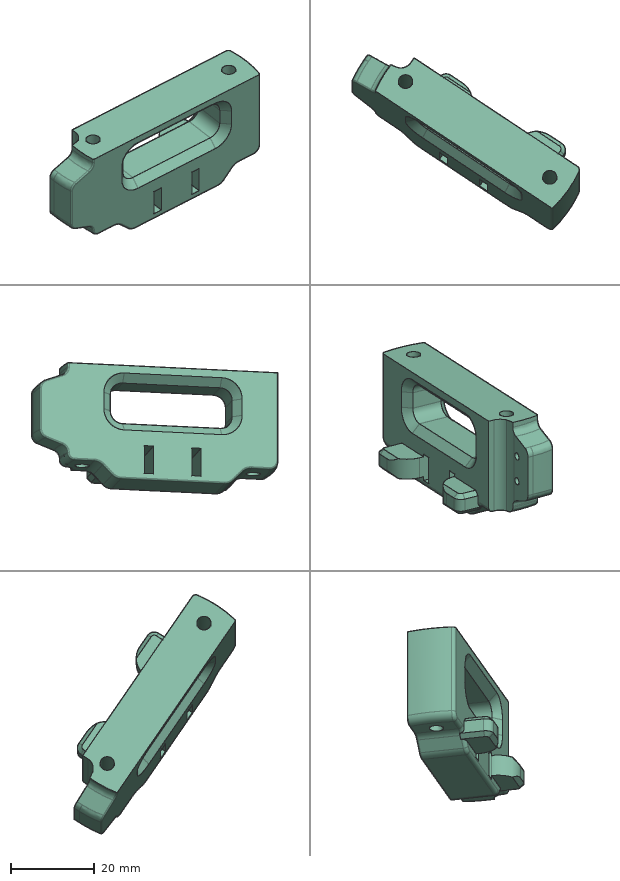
import cadquery as cq
import math


depth = 12.05
length = 59.6
height = 28.0
mid_x = depth / 2
end_radius = 29.8
block_bottom = 4.1
block_start = 6.8
nose_corner_round = 1.6
far_corner_round = 2.0
front_round = 1.0
rear_round = 0.35

tongue_y = (15.1, 51.25)
tongue_round = 3.0
tongue_overlap = 0.6

nose_x = 4.55
nose_buried_x = 2.4
nose_mid_z = 16.4
nose_tip_half = 6.45
nose_root_half = 8.95
nose_overlap = 3.0
nose_round = 2.0

relief_shoulder = (1.5, 10.55)
relief_blend = (4.05, 9.0)
relief_end_y = 6.4
relief_radius = 2.9
relief_exit_radius = 7.45
relief_clearance = 0.6

window_y = 33.2
window_z = 19.1
window_length = 29.9
window_height = 10.0
window_radius = 3.0
window_chamfer = 2.0

bolt_diameter = 3.4
bolt_y = (12.15, 54.2)
pin_diameter = 1.8
pin_depth = 3.0
pin_y = 5.0
pin_z = (13.3, 19.8)

hook_z = (2.5, 7.75)
hook_width = 10.8
hook_chamfer = 1.1
hook_corner = 1.95
hook_curve = 5.6
hook_root = 1.2
slot_z = (1.55, 8.4)
slot_width = 2.25
hooks = (
    (50.9, -1, 6.8),
    (15.4, 1, 5.65),
)

pick = 0.3


def edges_in_box(shape, low, high):
    """Edges centred in the box between two corners, enlarged by the pick clearance in Y and Z."""
    return shape.edges(cq.selectors.BoxSelector(
        (low[0], low[1] - pick, low[2] - pick),
        (high[0], high[1] + pick, high[2] + pick),
    ))


bow = end_radius - math.sqrt(end_radius**2 - mid_x**2)


def make_block():
    block = (
        cq.Workplane("XY", origin=(0, 0, block_bottom))
        .moveTo(0, block_start + bow)
        .threePointArc((mid_x, block_start), (depth, block_start + bow))
        .lineTo(depth, length - bow)
        .threePointArc((mid_x, length), (0, length - bow))
        .close()
        .extrude(height - block_bottom)
    )
    block = block.edges("<Z").edges("<Y").fillet(nose_corner_round)
    return block.edges("<Z").edges(">Y").fillet(far_corner_round)


def make_tongue():
    low, high = tongue_y
    top = block_bottom + tongue_overlap
    return (
        cq.Workplane("YZ")
        .polyline([
            (low, top),
            (low, block_bottom),
            (low + block_bottom, 0),
            (high - block_bottom, 0),
            (high, block_bottom),
            (high, top),
        ])
        .close()
        .extrude(depth)
        .edges("<Z and |X")
        .fillet(tongue_round)
    )


def blend_tongue(body):
    """Round the inner corners between the tongue and the underside of the block."""
    low, high = tongue_y
    near_joint = edges_in_box(body.edges("|X"), (0, low, block_bottom), (depth, high, block_bottom))
    return near_joint.fillet(tongue_round)


def round_front(body):
    """Round the outline of the hook-side face except its top edge."""
    return body.faces("<X").edges("not >Z").fillet(front_round)


def round_rear(body):
    """Round the outline of the face opposite the hooks except its top edge."""
    return body.faces(">X").edges("not >Z").fillet(rear_round)


def make_nose():
    """Tapered nose, flat-ended up to mid_x and bowed from there to the rear."""
    inner_y = block_start + nose_overlap
    plan = (
        cq.Workplane("XY")
        .moveTo(nose_buried_x, inner_y)
        .lineTo(nose_buried_x, 0)
        .lineTo(mid_x, 0)
        .radiusArc((depth, bow), -end_radius)
        .lineTo(depth, inner_y)
        .close()
        .extrude(height)
    )
    slope = (nose_root_half - nose_tip_half) / block_start
    inner_half = nose_tip_half + slope * inner_y
    side = (
        cq.Workplane("YZ", origin=(0, 0, nose_mid_z))
        .polyline([
            (0, -nose_tip_half),
            (0, nose_tip_half),
            (inner_y, inner_half),
            (inner_y, -inner_half),
        ])
        .close()
        .extrude(depth)
    )
    nose = plan.intersect(side)
    tip_edges = edges_in_box(
        nose.edges("not |Z"), (nose_buried_x + pick, 0, 0), (depth - pick, bow, height))
    return tip_edges.fillet(nose_round)


def blend_nose_root(body):
    """Round the two inner corners where the nose slopes meet the block."""
    root_edges = edges_in_box(
        body.edges("not |Z"),
        (nose_buried_x, block_start, nose_mid_z - nose_root_half),
        (depth - pick, block_start + bow, nose_mid_z + nose_root_half),
    )
    return root_edges.fillet(nose_round)


def make_relief():
    return (
        cq.Workplane("XY")
        .moveTo(-relief_clearance, -relief_clearance)
        .lineTo(-relief_clearance, relief_shoulder[1])
        .lineTo(*relief_shoulder)
        .radiusArc(relief_blend, relief_radius)
        .radiusArc((nose_x, relief_end_y), relief_exit_radius)
        .lineTo(nose_x, -relief_clearance)
        .close()
        .extrude(height)
    )


def make_window():
    """Rounded window with an equal flare at both faces."""
    opening = (
        cq.Workplane("YZ", origin=(0, window_y, window_z))
        .rect(window_length, window_height)
        .extrude(depth)
        .edges("|X")
        .fillet(window_radius)
    )
    for face_x, inward in ((0, 1), (depth, -1)):
        flare = (
            cq.Workplane("YZ", origin=(face_x, window_y, window_z))
            .sketch()
            .rect(window_length + 2 * window_chamfer, window_height + 2 * window_chamfer)
            .vertices()
            .fillet(window_radius + window_chamfer)
            .finalize()
            .extrude(inward * window_chamfer, taper=45)
        )
        opening = opening.union(flare)
    return opening


def make_holes():
    """Through bolt holes along Z and blind pin holes in the side of the nose."""
    bolts = (
        cq.Workplane("XY")
        .pushPoints([(mid_x, y) for y in bolt_y])
        .circle(bolt_diameter / 2)
        .extrude(height)
    )
    pins = (
        cq.Workplane("YZ", origin=(nose_x, 0, 0))
        .pushPoints([(pin_y, z) for z in pin_z])
        .circle(pin_diameter / 2)
        .extrude(pin_depth)
    )
    return bolts.union(pins)


def make_hook(outer_y, inward, reach):
    """Hook with a small outer corner, a broad curve towards its slot and chamfered outer rims."""
    bottom, top = hook_z
    width = inward * hook_width
    hook = (
        cq.Workplane("XY", origin=(0, outer_y, bottom))
        .moveTo(hook_root, 0)
        .lineTo(-reach, 0)
        .lineTo(-reach, width)
        .lineTo(hook_root, width)
        .close()
        .extrude(top - bottom)
    )
    outer_side = ">Y" if inward < 0 else "<Y"
    hook = hook.edges("<X").edges(outer_side).fillet(hook_corner)
    hook = hook.faces("<X").edges("|Y").chamfer(hook_chamfer)
    curve_trim = (
        cq.Workplane("XY", origin=(0, outer_y, bottom))
        .moveTo(-reach, width - inward * hook_curve)
        .radiusArc((hook_curve - reach, width), inward * hook_curve)
        .lineTo(-reach, width)
        .close()
        .extrude(top - bottom)
    )
    return hook.cut(curve_trim)


def make_slot(outer_y, inward):
    """Slot through the body, starting where the hook ends."""
    bottom, top = slot_z
    center_y = outer_y + inward * (hook_width + slot_width / 2)
    return (
        cq.Workplane("XY", origin=(mid_x, center_y, bottom))
        .rect(depth, slot_width)
        .extrude(top - bottom)
    )


body = make_block().union(make_tongue())
body = blend_tongue(body)
body = round_front(body)
body = body.union(make_nose())
body = blend_nose_root(body)
body = body.cut(make_relief())
body = round_rear(body)
body = body.cut(make_window()).cut(make_holes())
for hook_outer_y, hook_inward, hook_reach in hooks:
    body = body.union(make_hook(hook_outer_y, hook_inward, hook_reach))
    body = body.cut(make_slot(hook_outer_y, hook_inward))

result = body